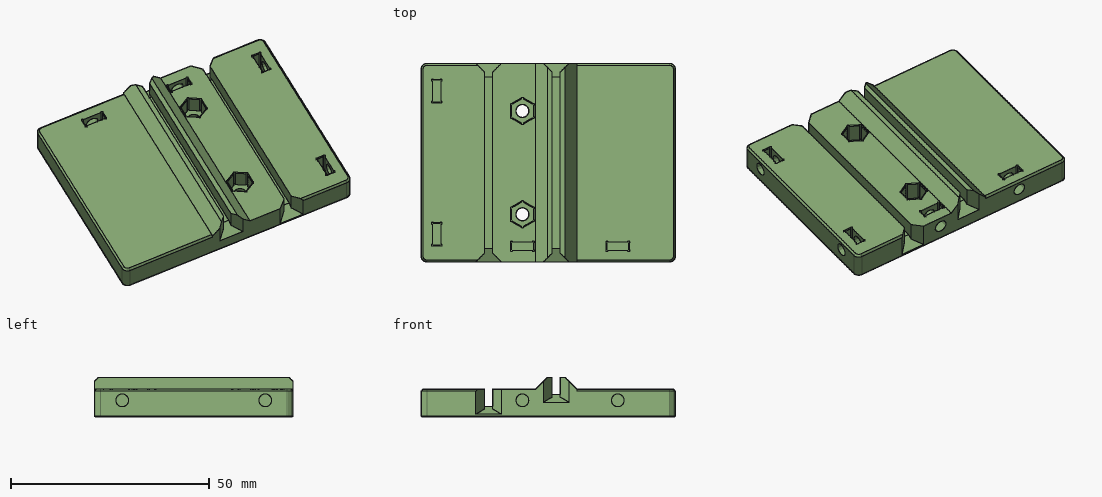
import cadquery as cq
import math

length = 64.0
width = 50.0
base_height = 7.0
corner_radius = 1.5
top_chamfer = 0.5
bottom_chamfer = 0.25

total_height = 10.0
ridge_x = 2.0
ridge_top_width = 4.5

plate_groove_x = -15.0
groove_width = 2.0
groove_depth = 4.3
flare_width = 6.5
flare_drop = 2.0
flare_floor_length = 3.4

screw_diameter = 3.2
nut_hole_x = -6.5
nut_hole_y = 13.0
nut_flats = 5.5
nut_pocket_depth = 5.0
lead_in = 0.22
relief_radius = 0.27

edge_hole_z = 4.2
edge_hole_depth = 8.0
slot_thickness = 2.1
slot_depth = 6.0
slot_inset = 3.95
side_hole_y = 18.0
front_hole_x = (-6.5, 17.5)

slot_length = nut_flats
ridge_height = total_height - base_height
ridge_base_width = ridge_top_width + 2 * ridge_height
ridge_right = ridge_x + ridge_base_width / 2


def make_base():
    """Rounded plate; the strip between groove and ridge keeps a sharp top edge."""
    plate = (
        cq.Workplane("XY")
        .box(length, width, base_height, centered=(True, True, False))
        .edges("|Z")
        .fillet(corner_radius)
    )
    chamfered = plate.faces("<Z").chamfer(bottom_chamfer)
    strip_width = ridge_right - plate_groove_x
    sharp_strip = (
        cq.Workplane("XY", origin=(plate_groove_x, 0, 0))
        .box(strip_width, width, base_height, centered=(False, True, False))
        .intersect(chamfered)
    )
    return chamfered.faces(">Z").chamfer(top_chamfer).union(sharp_strip)


def make_ridge():
    """Trapezoidal bar standing on the plate over its full width."""
    return (
        cq.Workplane("XZ", origin=(ridge_x, 0, 0))
        .moveTo(-ridge_base_width / 2, base_height)
        .lineTo(-ridge_top_width / 2, total_height)
        .lineTo(ridge_top_width / 2, total_height)
        .lineTo(ridge_base_width / 2, base_height)
        .close()
        .extrude(width / 2, both=True)
    )


def make_groove(x, top_z):
    """Straight groove plus a flared mouth with a ramped floor at each end."""
    floor_z = top_z - groove_depth
    groove = cq.Workplane("XY", origin=(x, 0, floor_z)).box(
        groove_width, width, groove_depth, centered=(True, True, False)
    )
    ramp = (
        cq.Workplane("YZ", origin=(x, 0, 0))
        .moveTo(-width / 2, floor_z - flare_drop)
        .lineTo(-width / 2 + flare_floor_length, floor_z)
        .lineTo(-width / 2 + flare_floor_length, top_z)
        .lineTo(-width / 2, top_z)
        .close()
        .extrude(flare_width / 2, both=True)
    )
    taper = (flare_width - groove_width) / 2
    plan = (
        cq.Workplane("XY", origin=(x, -width / 2, 0))
        .moveTo(-flare_width / 2, 0)
        .lineTo(-groove_width / 2, taper)
        .lineTo(-groove_width / 2, flare_floor_length)
        .lineTo(groove_width / 2, flare_floor_length)
        .lineTo(groove_width / 2, taper)
        .lineTo(flare_width / 2, 0)
        .close()
        .extrude(top_z)
    )
    mouth = ramp.intersect(plan)
    return groove.union(mouth).union(mouth.mirror("XZ"))


def make_corner_reliefs(pocket):
    """Small round clearances along the upright corners of a nut pocket."""
    depth = pocket.val().BoundingBox().zlen
    floor_vertices = pocket.faces("<Z").vertices().vals()
    corners = [vertex.toTuple() for vertex in floor_vertices]
    return cq.Workplane("XY").pushPoints(corners).circle(relief_radius).extrude(depth)


def hexagon_at(y, z, flats):
    """Hexagon outline on the nut axis, with two flats facing along X."""
    return (
        cq.Workplane("XY", origin=(nut_hole_x, y, z))
        .transformed(rotate=(0, 0, 30))
        .polygon(6, flats / math.cos(math.pi / 6))
    )


def make_nut_pocket(y):
    """Through hole under a hexagonal pocket with a 45 degree lead-in and corner reliefs."""
    pocket = hexagon_at(y, base_height - nut_pocket_depth, nut_flats).extrude(nut_pocket_depth)
    funnel = hexagon_at(y, base_height, nut_flats + 2 * lead_in).extrude(-lead_in, taper=45)
    hole = cq.Workplane("XY", origin=(nut_hole_x, y, 0)).circle(screw_diameter / 2).extrude(base_height)
    return pocket.union(make_corner_reliefs(pocket)).union(funnel).union(hole)


def make_edge_trap():
    """Screw hole entering along +Y at the origin and its upright nut slot with bevelled ends."""
    hole = (
        cq.Workplane("XZ", origin=(0, 0, edge_hole_z))
        .circle(screw_diameter / 2)
        .extrude(-edge_hole_depth)
    )
    slot = cq.Workplane("XY", origin=(0, slot_inset, base_height - slot_depth)).box(
        slot_length, slot_thickness, slot_depth, centered=(True, True, False)
    )
    trap = hole.union(slot).union(make_corner_reliefs(slot))
    for end_x in (-slot_length / 2, slot_length / 2):
        notch = (
            cq.Workplane("XZ", origin=(end_x, slot_inset, base_height))
            .moveTo(-lead_in, 0)
            .lineTo(0, -lead_in)
            .lineTo(lead_in, 0)
            .close()
            .extrude(slot_thickness / 2, both=True)
        )
        trap = trap.union(notch)
    return trap


result = make_base().union(make_ridge())
result = result.cut(make_groove(plate_groove_x, base_height))
result = result.cut(make_groove(ridge_x, total_height))

for pocket_y in (-nut_hole_y, nut_hole_y):
    result = result.cut(make_nut_pocket(pocket_y))

edge_trap = make_edge_trap()
for hole_x in front_hole_x:
    result = result.cut(edge_trap.translate((hole_x, -width / 2, 0)))

side_trap = edge_trap.rotate((0, 0, 0), (0, 0, 1), -90)
for hole_y in (-side_hole_y, side_hole_y):
    result = result.cut(side_trap.translate((-length / 2, hole_y, 0)))